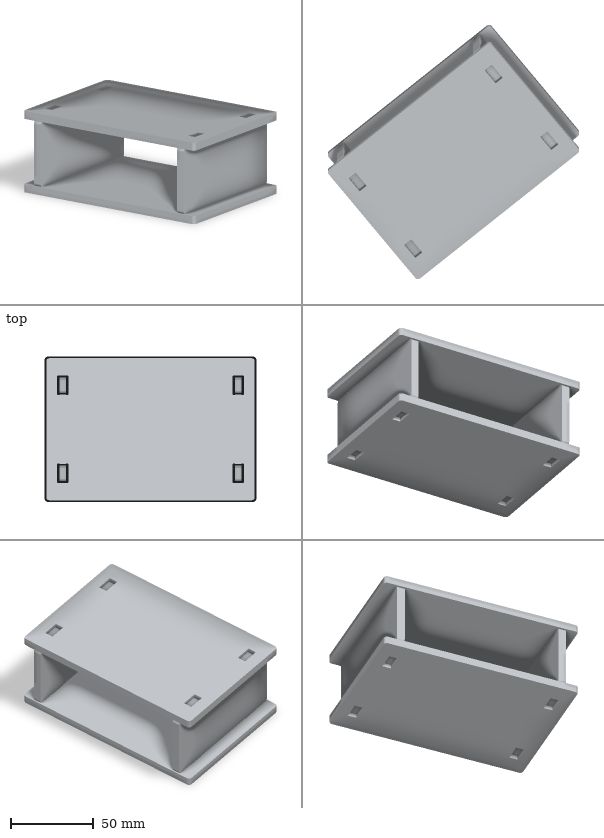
import cadquery as cq

length = 127.0
width = 87.0
height = 51.0

panel_height = 41.0
sheet = (height - panel_height) / 2
corner_radius = 2.0
panel_inset = 8.0
panel_spacing = length - 2 * panel_inset - sheet

tab_spacing = 53.2
tab_width = 10.0
tab_height = 3.0
tab_radius = 1.1

slot_clearance = 0.3
slot_length = sheet + 2 * slot_clearance
slot_width = tab_width + 2 * slot_clearance


def make_plate(center_z):
    """Horizontal plate with four through slots, one for each panel tab."""
    plate = cq.Workplane("XY").box(length, width, sheet).edges("|Z").fillet(corner_radius)
    slots = (
        cq.Workplane("XY")
        .rarray(panel_spacing, tab_spacing, 2, 2)
        .rect(slot_length, slot_width)
        .extrude(sheet, both=True)
    )
    return plate.cut(slots).translate((0, 0, center_z))


def make_panel(center_x):
    """Upright panel with two round-tipped tabs on its top and bottom edges."""
    panel = cq.Workplane("XY").box(sheet, width, panel_height).edges("|X").fillet(corner_radius)
    bar_height = panel_height + 2 * tab_height
    tab_bar = cq.Workplane("XY").box(sheet, tab_width, bar_height).edges("|X").fillet(tab_radius)
    for side in (-1, 1):
        panel = panel.union(tab_bar.translate((0, side * tab_spacing / 2, 0)))
    return panel.translate((center_x, 0, 0))


plate_offset = (height - sheet) / 2
plates = [make_plate(side * plate_offset) for side in (-1, 1)]
panels = [make_panel(side * panel_spacing / 2) for side in (-1, 1)]

result = cq.Compound.makeCompound([body.solids().val() for body in plates + panels])